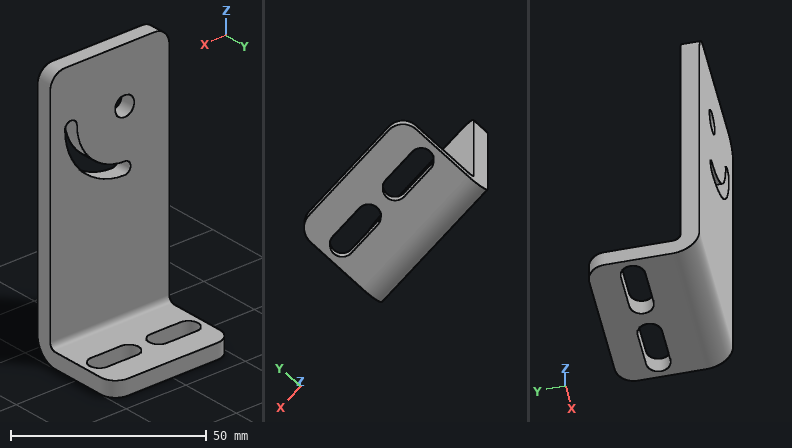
import cadquery as cq
import math

width = 40.0
depth = 30.0
height = 85.0
thickness = 5.0
inner_bend_radius = 2.0
outer_bend_radius = inner_bend_radius + thickness
corner_radius = 5.0

hole_diameter = 6.4
pivot_x = -5.0
pivot_z = height - 18.0
arc_radius = 18.0
arc_slot_width = 4.0

foot_slot_length = 16.3
foot_slot_width = hole_diameter
foot_slot_spacing = 20.0
foot_slot_y = depth - 11.5


def bent_plate():
    """L-shaped plate with concentric bend radii and rounded free corners."""
    plate = (
        cq.Workplane("YZ")
        .rect(depth, height, centered=False)
        .extrude(width / 2, both=True)
        .edges("|X and <Y and <Z")
        .fillet(outer_bend_radius)
    )
    inside = (
        cq.Workplane("YZ")
        .moveTo(thickness, thickness)
        .rect(depth, height, centered=False)
        .extrude(width / 2, both=True)
        .edges("|X and <Y and <Z")
        .fillet(inner_bend_radius)
    )
    return (
        plate.cut(inside)
        .edges("|Y and >Z")
        .fillet(corner_radius)
        .edges("|Z and >Y")
        .fillet(corner_radius)
    )


def wall_plane():
    """Sketch plane on the outer wall face, centred on the pivot, extruding toward -Y."""
    return cq.Workplane("XZ", origin=(pivot_x, 0, pivot_z))


def pivot_hole():
    return wall_plane().circle(hole_diameter / 2).extrude(-thickness)


def arc_slot():
    """Quarter-circle slot running from beside the pivot to below it."""
    inner = arc_radius - arc_slot_width / 2
    outer = arc_radius + arc_slot_width / 2
    end_radius = arc_slot_width / 2
    diagonal = math.sqrt(0.5)
    return (
        wall_plane()
        .moveTo(outer, 0)
        .threePointArc((outer * diagonal, -outer * diagonal), (0, -outer))
        .threePointArc((-end_radius, -arc_radius), (0, -inner))
        .threePointArc((inner * diagonal, -inner * diagonal), (inner, 0))
        .threePointArc((arc_radius, end_radius), (outer, 0))
        .close()
        .extrude(-thickness)
    )


def foot_slots():
    return (
        cq.Workplane("XY")
        .pushPoints([(side * foot_slot_spacing / 2, foot_slot_y) for side in (-1, 1)])
        .slot2D(foot_slot_length, foot_slot_width)
        .extrude(thickness)
    )


result = bent_plate().cut(pivot_hole()).cut(arc_slot()).cut(foot_slots())